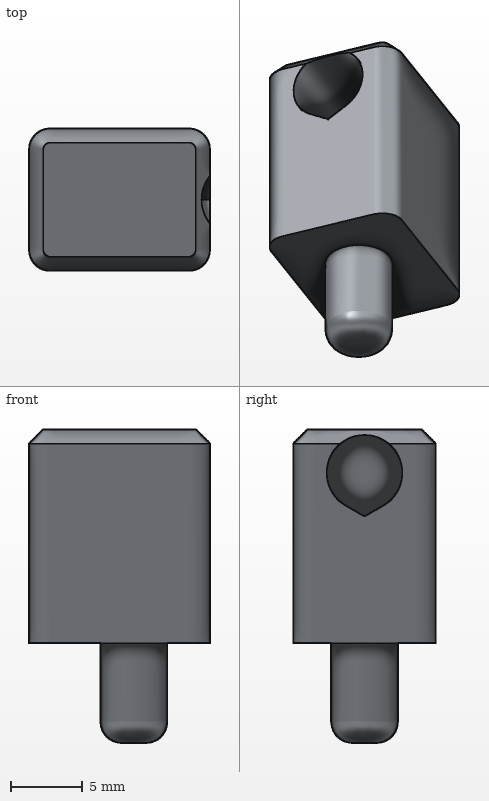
import math

import cadquery as cq

body_length = 12.7
body_width = 10.0
body_height = 15.0
corner_radius = 1.5
top_chamfer = 1.0

pin_diameter = 4.7
pin_length = 7.0
pin_tip_radius = 1.5
pin_center_x = 1.0

bore_radius = 2.65
bore_depth = 8.0
bore_center_z = 11.95
bore_flat_slope = math.radians(30)


def make_body():
    """Block standing on Z = 0 with rounded upright edges and a chamfered top."""
    block = cq.Workplane("XY").box(body_length, body_width, body_height, centered=(True, True, False))
    return block.edges("|Z").fillet(corner_radius).faces(">Z").chamfer(top_chamfer)


def make_pin():
    """Pin hanging below the body, with a rounded tip."""
    pin = cq.Workplane("XY").center(pin_center_x, 0).circle(pin_diameter / 2).extrude(-pin_length)
    return pin.faces("<Z").edges().fillet(pin_tip_radius)


def make_bore():
    """Teardrop cutter: a round bore whose tangent flats run down to a point."""
    tangent_y = bore_radius * math.sin(bore_flat_slope)
    tangent_z = -bore_radius * math.cos(bore_flat_slope)
    point_z = -bore_radius / math.cos(bore_flat_slope)
    return (
        cq.Workplane("YZ", origin=(body_length / 2, 0, bore_center_z))
        .moveTo(0, point_z)
        .lineTo(tangent_y, tangent_z)
        .threePointArc((0, bore_radius), (-tangent_y, tangent_z))
        .close()
        .extrude(-bore_depth)
    )


result = make_body().union(make_pin()).cut(make_bore())